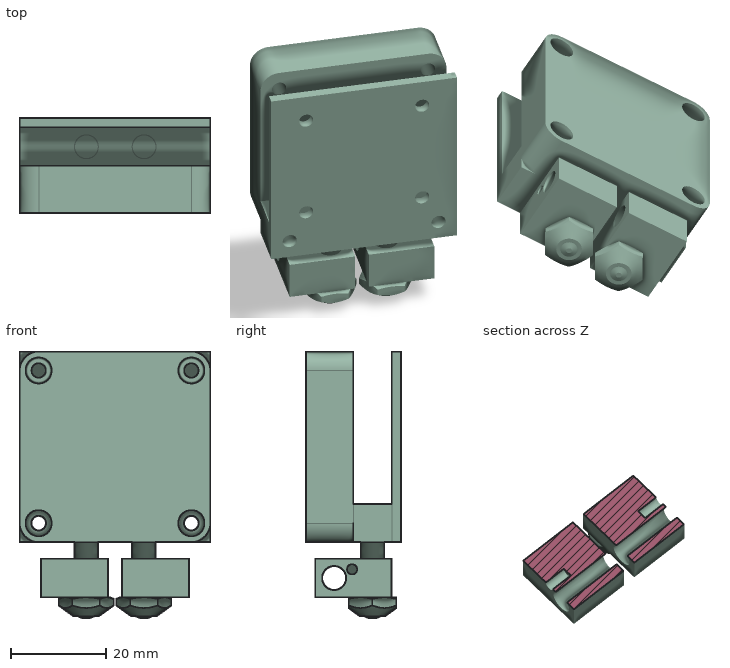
import cadquery as cq
import math

side = 40.0
total_depth = 20.0
total_height = 56.0
plate_thickness = 2.0
bar_size = 8.0
cover_thickness = total_depth - plate_thickness - bar_size
cover_corner_radius = 4.0

screw_diameter = 3.0
screw_head_diameter = 5.5
screw_head_depth = 3.0
screw_offset = side / 2 - cover_corner_radius

plate_hole_half_spacing = 12.5
plate_hole_heights = (14.0, -9.25)

stem_diameter = 5.0
stem_offset = 6.05
stem_gap = 3.5
block_inner_x = 1.45
block_length = 14.1
block_depth = 16.0
block_height = 8.1
heater_hole_diameter = 5.0
heater_hole_inset = 4.0
sensor_hole_diameter = 2.1
sensor_hole_inset = 7.7
sensor_hole_drop = 2.25
sensor_hole_depth = 5.05

nozzle_flats = 10.0
nozzle_hex_depth = 1.7
nozzle_cone_radius = 2.7
nozzle_cone_bottom = 3.9
nozzle_tip_top_radius = 1.8
nozzle_tip_radius = 0.6
nozzle_chamfer_height = 0.35

bar_front = -plate_thickness - bar_size
stem_y = -plate_thickness - bar_size / 2
bottom = -side / 2
bar_top = bottom + bar_size
block_top = bottom - stem_gap
block_bottom = block_top - block_height
block_front = -plate_thickness - block_depth
nozzle_height = total_height - side - stem_gap - block_height


def box(x_min, x_max, y_min, y_max, z_min, z_max):
    """Box between two opposite corners."""
    size = (x_max - x_min, y_max - y_min, z_max - z_min)
    return cq.Workplane("XY").box(*size, centered=False).translate((x_min, y_min, z_min))


def cylinder_y(diameter, x, z, y_start, length):
    """Cylinder running from y_start toward +Y."""
    return (
        cq.Workplane("XZ", origin=(x, y_start, z))
        .circle(diameter / 2)
        .extrude(-length)
    )


def cylinder_x(diameter, y, z, x_start, length):
    """Cylinder running from x_start toward +X."""
    return cq.Workplane("YZ", origin=(x_start, y, z)).circle(diameter / 2).extrude(length)


def make_mount():
    """Back plate, bottom bar and rounded cover, with all their holes."""
    half = side / 2
    plate = box(-half, half, -plate_thickness, 0, -half, half)
    bar = box(-half, half, bar_front, -plate_thickness, bottom, bar_top)
    cover = box(-half, half, -total_depth, bar_front, -half, half)
    cover = cover.edges("|Y").fillet(cover_corner_radius)

    for x in (-screw_offset, screw_offset):
        for z in (-screw_offset, screw_offset):
            head = cylinder_y(screw_head_diameter, x, z, -total_depth, screw_head_depth)
            shank = cylinder_y(screw_diameter, x, z, -total_depth, cover_thickness)
            cover = cover.cut(head).cut(shank)
        through = cylinder_y(screw_diameter, x, -screw_offset, bar_front, -bar_front)
        plate = plate.cut(through)
        bar = bar.cut(through)

    for x in (-plate_hole_half_spacing, plate_hole_half_spacing):
        for z in plate_hole_heights:
            plate = plate.cut(cylinder_y(screw_diameter, x, z, -plate_thickness, plate_thickness))

    return plate.union(bar, clean=False).union(cover, clean=False)


def make_nozzle():
    """Hexagonal nozzle with its top at Z = 0 and its axis on Z."""
    corner_radius = nozzle_flats / math.sqrt(3)
    envelope = (
        cq.Workplane("XZ")
        .moveTo(0, 0)
        .lineTo(nozzle_flats / 2, 0)
        .lineTo(corner_radius, -nozzle_chamfer_height)
        .lineTo(corner_radius, -nozzle_hex_depth)
        .lineTo(nozzle_cone_radius, -nozzle_cone_bottom)
        .lineTo(nozzle_tip_top_radius, -nozzle_cone_bottom)
        .lineTo(nozzle_tip_radius, -nozzle_height)
        .lineTo(0, -nozzle_height)
        .close()
        .revolve(360, (0, 0, 0), (0, 1, 0))
    )
    hexagon = cq.Workplane("XY").polygon(6, 2 * corner_radius).extrude(-nozzle_height)
    return envelope.intersect(hexagon)


def make_hot_end():
    """Left hot end; the heater block reaches outward from the stem."""
    outer_x = -block_inner_x - block_length
    block = box(outer_x, -block_inner_x, block_front, -plate_thickness, block_bottom, block_top)
    heater_y = block_front + heater_hole_inset
    heater_z = block_top - block_height / 2
    sensor_y = block_front + sensor_hole_inset
    sensor_z = block_top - sensor_hole_drop
    block = block.cut(cylinder_x(heater_hole_diameter, heater_y, heater_z, outer_x, block_length))
    block = block.cut(cylinder_x(sensor_hole_diameter, sensor_y, sensor_z, outer_x, sensor_hole_depth))
    stem = (
        cq.Workplane("XY", origin=(-stem_offset, stem_y, block_top))
        .circle(stem_diameter / 2)
        .extrude(bar_top - block_top)
    )
    nozzle = make_nozzle().translate((-stem_offset, stem_y, block_bottom))
    return block.union(stem).union(nozzle)


left_hot_end = make_hot_end()
right_hot_end = left_hot_end.mirror("YZ")
result = make_mount().union(left_hot_end, clean=False).union(right_hot_end, clean=False)